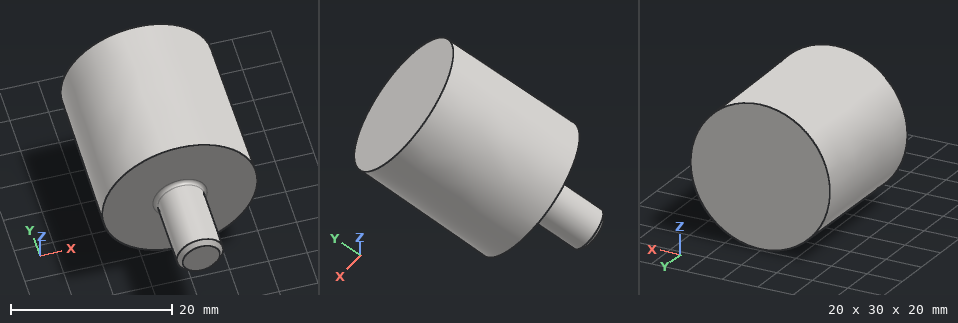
import cadquery as cq
import math

body_length = 20.0
body_front_radius = 10.0
body_draft_angle = 0.5
body_back_radius = body_front_radius - body_length * math.tan(math.radians(body_draft_angle))

stud_length = 10.0
stud_radius = 3.0
stud_tip_chamfer = 0.6
stud_root_fillet = 0.5


def make_buffer():
    """Revolve the half section of body and stud, drawn as (Y, radius), about the Y axis."""
    tip_y = -stud_length
    fillet_center_y = -stud_root_fillet
    fillet_center_radius = stud_radius + stud_root_fillet
    fillet_offset = stud_root_fillet * math.sqrt(0.5)
    fillet_mid = (fillet_center_y + fillet_offset, fillet_center_radius - fillet_offset)
    full_turn = 360
    return (
        cq.Workplane("YZ")
        .moveTo(tip_y, 0)
        .lineTo(tip_y, stud_radius - stud_tip_chamfer)
        .lineTo(tip_y + stud_tip_chamfer, stud_radius)
        .lineTo(fillet_center_y, stud_radius)
        .threePointArc(fillet_mid, (0, fillet_center_radius))
        .lineTo(0, body_front_radius)
        .lineTo(body_length, body_back_radius)
        .lineTo(body_length, 0)
        .close()
        .revolve(full_turn, (0, 0, 0), (1, 0, 0))
    )


result = make_buffer()